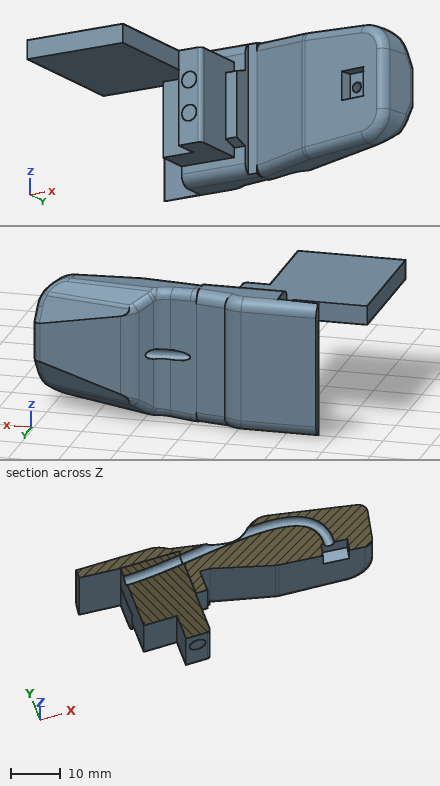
import cadquery as cq
import math


handle_height = 28.0
half_height = handle_height / 2
wing_start = 6.75
base_start = 15.4
wing_thickness = 2.0
slot_floor = -2.6
base_front = -9.7
bend_start = 22.4
bend_end = 26.1
bend_end_back = -1.305
base_end = 32.3
base_end_back = -2.5
base_fillet = 2.5
notch_start = 30.3
notch_face = -8.5

boss_front = -13.1
boss_root_half = 7.95
slot_half = 6.95

lever_tilt = 11.0
taper_start = 1.95
lever_length = 35.05
tip_half_height = 12.0
tip_corner_radius = 6.0
lever_fillet = 2.0
ridge_zone_depth = 2.7
neck_corner = (39.7, -3.55)
crown_corner = (45.6, 0.1)
crown_slope = math.tan(math.radians(lever_tilt))
front_kink = (45.35, -12.2)
front_slope = 0.09
bend_radius = 5.0
kink_radius = 4.0
profile_end = 73.6
outline_overrun = 6.7

flank_point = (42.3, -4.1, 13.5)
flank_falls = (0.35, 1.4)
shoulder_point = (46.15, -0.9, 10.15)
shoulder_falls = (0.32, 0.53)
cutter_size = 133.75

parallel_limit = 0.999
joint_margin = 0.1

pocket_start = 54.9
pocket_width = 5.35
pocket_height = 6.1
pocket_depth = 2.6
pocket_lean = 0.5
channel_diameter = 2.1
channel_y = -5.6
channel_end_x = 57.0

plate_right = 22.4
plate_back = -14.5
plate_front = -44.5
plate_thickness = 4.0
bracket_half = 9.95
bracket_right = 27.75
bracket_front = -22.6
lower_front = -16.9
bracket_corner_radius = 0.9

pin_diameter = 3.4
pin_x = 24.9
pin_spacing = 6.95


def block(x_range, y_range, z_range):
    """Box between two limits along each axis."""
    (x0, x1), (y0, y1), (z0, z1) = x_range, y_range, z_range
    return cq.Workplane("XY").box(x1 - x0, y1 - y0, z1 - z0, centered=False).translate((x0, y0, z0))


def extrude_profile(sketch):
    """Closed XY outline extruded over the full height of the handle."""
    return sketch.close().extrude(half_height, both=True)


def make_tongue():
    """Tongue of the bracket, which is also the shape of the slot in the handle base."""
    return block((base_start, bracket_right), (base_front, slot_floor), (-slot_half, slot_half))


def make_base():
    """Handle base: a long rounded block with a thin wing, a notch at its far end and the slot."""
    sketch = (
        cq.Workplane("XY")
        .moveTo(wing_start, base_front)
        .lineTo(wing_start, 0)
        .lineTo(bend_start, 0)
        .tangentArcPoint((bend_end, bend_end_back), relative=False)
        .lineTo(base_end, base_end_back)
        .lineTo(base_end, base_front)
    )
    base = extrude_profile(sketch)
    long_edges = [
        edge for edge in base.faces("<Z or >Z").edges().vals()
        if wing_start < edge.Center().x < base_end
    ]
    base = base.newObject(long_edges).fillet(base_fillet)
    under_wing = extrude_profile(
        cq.Workplane("XY").polyline([
            (wing_start, -wing_thickness),
            (base_start, slot_floor),
            (base_start, base_front),
            (wing_start, base_front),
        ])
    )
    notch = block((notch_start, base_end), (base_front, notch_face), (-half_height, half_height))
    return base.cut(under_wing).cut(notch).cut(make_tongue())


def make_boss():
    """Tapered boss on the base that the side of the bracket rests against."""
    return (
        cq.Workplane("YZ", origin=(bracket_right, 0, 0))
        .polyline([
            (base_front, -boss_root_half),
            (boss_front, -slot_half),
            (boss_front, slot_half),
            (base_front, boss_root_half),
        ])
        .close()
        .extrude(notch_start - bracket_right)
    )


def flank_cutter(point, falls, side):
    """Half-space above a sloped flank; side is 1 for the +Z flank, -1 for the -Z flank."""
    x, y, z = point
    fall_x, fall_z = falls
    plane = cq.Plane(origin=(x, y, side * z), xDir=(1, -fall_x, 0), normal=(fall_x, 1, side * fall_z))
    return cq.Workplane(plane).rect(cutter_size, cutter_size).extrude(cutter_size)


def tilted_plane(x, tilt):
    """Plane through Y = 0 facing +Y and turned clockwise by the tilt, its local X running along the lever."""
    angle = math.radians(tilt)
    along = (math.cos(angle), -math.sin(angle), 0)
    normal = (math.sin(angle), math.cos(angle), 0)
    return cq.Plane(origin=(x, 0, 0), xDir=along, normal=normal)


def lever_front_y(x):
    """Y of the front face of the lever, beyond its kink."""
    return front_kink[1] - front_slope * (x - front_kink[0])


def make_lever():
    """Lever: a bent profile trimmed by a tilted, tapered outline, with a sloped crown and rounded rims."""
    outline_plane = tilted_plane(base_end, lever_tilt)
    sketch = cq.Workplane("XY").polyline([
        (base_end, notch_face),
        (base_end, base_end_back),
        neck_corner,
        crown_corner,
        (profile_end, crown_corner[1] - crown_slope * (profile_end - crown_corner[0])),
        (profile_end, lever_front_y(profile_end)),
        front_kink,
    ])
    body = extrude_profile(sketch)
    for (x, y), radius in ((neck_corner, bend_radius), (crown_corner, bend_radius), (front_kink, kink_radius)):
        body = body.edges(cq.selectors.NearestToPointSelector((x, y, 0))).fillet(radius)
    outline = (
        cq.Workplane(outline_plane)
        .polyline([
            (-outline_overrun, half_height),
            (taper_start, half_height),
            (lever_length, tip_half_height),
            (lever_length, -tip_half_height),
            (taper_start, -half_height),
            (-outline_overrun, -half_height),
        ])
        .close()
        .extrude(2 * half_height, both=True)
        .faces(cq.selectors.DirectionMinMaxSelector(outline_plane.xDir, True))
        .edges(cq.selectors.ParallelDirSelector(outline_plane.zDir))
        .fillet(tip_corner_radius)
    )
    body = body.intersect(outline)
    for side in (1, -1):
        body = body.cut(flank_cutter(flank_point, flank_falls, side))
        body = body.cut(flank_cutter(shoulder_point, shoulder_falls, side))
    return body.newObject(rounded_lever_edges(body)).fillet(lever_fillet)


def rounded_lever_edges(body):
    """Rim edges of the lever, without the bends, the corner seams, the joint and the crown ridges."""
    seam_direction = tilted_plane(base_end, lever_tilt).zDir
    rounded = []
    for edge in body.edges().vals():
        center = edge.Center()
        direction = edge.tangentAt(0.5)
        at_joint = center.x < base_end + joint_margin
        is_bend = abs(direction.z) > parallel_limit and center.x < pocket_start + pocket_width
        is_seam = edge.geomType() == "LINE" and abs(direction.dot(seam_direction)) > parallel_limit
        is_ridge = center.x > crown_corner[0] and center.y > crown_corner[1] - ridge_zone_depth
        if not (at_joint or is_bend or is_seam or is_ridge):
            rounded.append(edge)
    return rounded


def make_pocket():
    """Pocket with its floor parallel to the front of the lever and its side walls leaning to +X."""
    end = pocket_start + pocket_width
    return (
        cq.Workplane("XY")
        .polyline([
            (pocket_start, lever_front_y(pocket_start)),
            (pocket_start + pocket_lean, lever_front_y(pocket_start) + pocket_depth),
            (end + pocket_lean, lever_front_y(end) + pocket_depth),
            (end, lever_front_y(end)),
        ])
        .close()
        .extrude(pocket_height / 2, both=True)
    )


def make_channel():
    """Curved bore from the tongue of the bracket, through the base, to the floor of the pocket."""
    channel_end_y = lever_front_y(channel_end_x) + pocket_depth
    path = cq.Workplane("XY").spline(
        [(base_start, channel_y), (channel_end_x, channel_end_y)],
        tangents=[(1, 0), (-front_slope, -1)],
    )
    return cq.Workplane("YZ", origin=(base_start, channel_y, 0)).circle(channel_diameter / 2).sweep(path)


def make_pin(z):
    """Straight pin from the front of the bracket to the floor of the slot."""
    return (
        cq.Workplane("XZ", origin=(pin_x, slot_floor, z))
        .circle(pin_diameter / 2)
        .extrude(slot_floor - bracket_front)
    )


def make_bracket():
    """T-shaped tongue and block carrying a thin side plate flush with its top."""
    height = (-bracket_half, bracket_half)
    tongue = make_tongue()
    back = block((base_start, bracket_right), (lower_front, base_front), height)
    front = block((plate_right, bracket_right), (bracket_front, lower_front), height)
    plate = block((0, plate_right), (plate_front, plate_back), (bracket_half - plate_thickness, bracket_half))
    body = back.union(front).edges("|Z and >X and <Y").fillet(bracket_corner_radius)
    return body.union(tongue).union(plate)


channel = make_channel()
pins = [make_pin(side * pin_spacing / 2) for side in (1, -1)]

handle = make_base().union(make_boss()).union(make_lever()).cut(make_pocket()).cut(channel)

bracket = make_bracket().cut(channel)
for pin in pins:
    bracket = bracket.cut(pin)

result = cq.Compound.makeCompound([handle.val(), bracket.val(), *[pin.val() for pin in pins]])